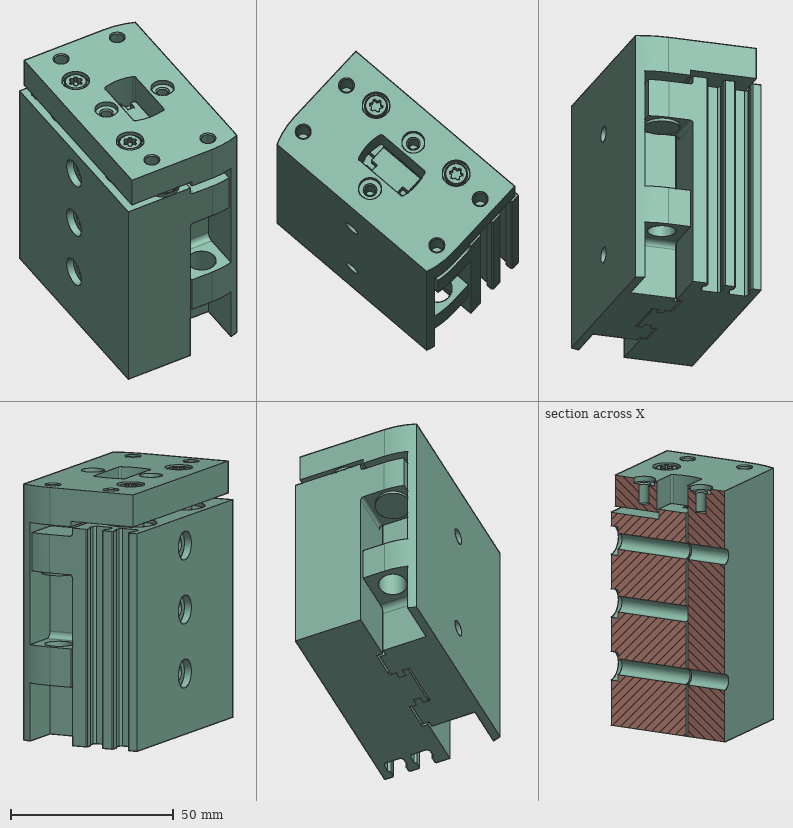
import cadquery as cq
import math


TOTAL_HEIGHT = 80.0
TOTAL_DEPTH = 40.0
SIDE_ARC_RADIUS = 27.5
SIDE_ARC_START = 30.0

HOUSING_WIDTH = 66.0
HOUSING_HALF = HOUSING_WIDTH / 2
HOUSING_HEIGHT = 68.0
HOUSING_REAR = 22.1
HOUSING_LUG_REAR = 36.4
HOUSING_LUG_BOTTOM = 53.4
LUG_THICKNESS = 12.0
HOUSING_LUG_INNER = 19.2
LUG_FILLET = 1.2

SLOT_CENTERS_Y = (5.7, 14.6)
SLOT_THROAT = 5.1
SLOT_MOUTH_CHAMFER = 0.4
SLOT_WIDE = 6.6
SLOT_LIP = 2.3
SLOT_DEPTH = 6.4
SLOT_FLOOR_CHAMFER = 0.8

MOUNT_HEIGHTS = (19.0, 39.0, 59.0)
MOUNT_DIAMETER = 5.0
MOUNT_BORE_DIAMETER = 9.0
MOUNT_BORE_DEPTH = 2.4

STOP_X = 26.4
STOP_BUSHING_DIAMETER = 11.0
STOP_BUSHING_DROP = 1.0
BUFFER_BORE_DIAMETER = 8.9

CAP_X = 28.0
CAP_Y = 15.2
CAP_DIAMETER = 10.0
CAP_HEIGHT = 1.4
CAP_CHAMFER = 0.2

RAIL_HALF = 7.6
RAIL_FRONT = 16.8
RAIL_REAR = 26.4
RAIL_TOP = 71.2
RAIL_GROOVE_HALF = 5.3
RAIL_GROOVE_FRONT = 22.4
RAIL_GROOVE_REAR = 24.6
CHANNEL_FLOOR = 20.1
CARRIAGE_FRONT = 20.8
CARRIAGE_HALF = 16.0
CHANNEL_HALF = 16.8

SLIDE_HALF = 32.7
PLATE_FRONT = 1.4
PLATE_BOTTOM = 70.0
STEP_FRONT = 22.8
STEP_BOTTOM = 68.3
WALL_FRONT = 37.4
BLOCK_HALF = 18.0
BLOCK_FILLET = 2.0
SLIDE_LUG_BOTTOM = 18.2
RAIL_CLEARANCE_REAR = 27.0

WINDOW_FRONT = 16.2
WINDOW_HALF = 9.9
WINDOW_END_HALF = 9.0
WINDOW_CORNER = 0.8

HOLE_FRONT_Y = 11.6
HOLE_SPACING_Y = 20.0
CORNER_HOLE_X = 27.5
CORNER_HOLE_DIAMETER = 4.2
CORNER_RIM_DIAMETER = 4.9
CORNER_HOLE_DEPTH = 8.8
CENTER_HOLE_DIAMETER = 3.3
CENTER_RIM_DIAMETER = 4.2
CENTER_BORE_DIAMETER = 7.0
CENTER_BORE_DEPTH = 1.6
CENTER_HOLE_DEPTH = 8.0

ROD_X = 16.5
ROD_Y = 10.3
ROD_DIAMETER = 8.0
ROD_RECESS_DIAMETER = 16.0
ROD_RECESS_DEPTH = 1.2
SCREW_BORE_DIAMETER = 8.5
SCREW_BORE_DEPTH = 1.6
SCREW_HEAD_DIAMETER = 7.0
SCREW_HEAD_HEIGHT = 1.3
SCREW_HEAD_CHAMFER = 0.3
TORX_POINTS = 6
TORX_TIP_RADIUS = 2.1
TORX_VALLEY_RADIUS = 1.4
TORX_TIP_HALF_ANGLE = 8
TORX_DEPTH = 2.0


def block(x_min, x_max, y_min, y_max, z_min, z_max):
    """Box given by its limits."""
    size = (x_max - x_min, y_max - y_min, z_max - z_min)
    return cq.Workplane("XY").box(*size, centered=False).translate((x_min, y_min, z_min))


def cylinder(x, y, diameter, z_min, z_max):
    """Upright cylinder."""
    return cq.Workplane("XY", origin=(x, y, z_min)).circle(diameter / 2).extrude(z_max - z_min)


def cylinder_along_y(z, diameter, y_min, y_max):
    """Cylinder on X = 0 running from front to rear."""
    plane = cq.Workplane("XZ", origin=(0, y_min, z))
    return plane.circle(diameter / 2).extrude(y_min - y_max)


def rounded_outline(half, front, rear, z_min, z_max):
    """Prism with straight sides that curve inward toward the rear."""
    def inset(y):
        run = y - SIDE_ARC_START
        return SIDE_ARC_RADIUS - math.sqrt(SIDE_ARC_RADIUS ** 2 - run ** 2)

    middle = (SIDE_ARC_START + rear) / 2
    return (
        cq.Workplane("XY", origin=(0, 0, z_min))
        .moveTo(-half, front)
        .lineTo(half, front)
        .lineTo(half, SIDE_ARC_START)
        .threePointArc((half - inset(middle), middle), (half - inset(rear), rear))
        .lineTo(-half + inset(rear), rear)
        .threePointArc((-half + inset(middle), middle), (-half, SIDE_ARC_START))
        .close()
        .extrude(z_max - z_min)
    )


def side_slot(y):
    """T-slot with a chamfered mouth, open on the -X side."""
    throat = SLOT_THROAT / 2
    mouth = throat + SLOT_MOUTH_CHAMFER
    wide = SLOT_WIDE / 2
    flare = wide - throat
    half_profile = [
        (0, mouth),
        (SLOT_MOUTH_CHAMFER, throat),
        (SLOT_LIP, throat),
        (SLOT_LIP + flare, wide),
        (SLOT_DEPTH - SLOT_FLOOR_CHAMFER, wide),
        (SLOT_DEPTH, wide - SLOT_FLOOR_CHAMFER),
    ]
    other_half = [(depth, -width) for depth, width in reversed(half_profile)]
    profile = cq.Workplane("XY", origin=(-HOUSING_HALF, y, 0)).polyline(half_profile + other_half)
    return profile.close().extrude(HOUSING_HEIGHT)


def make_rail():
    """Guide rail with one ball groove on each side."""
    rail = block(-RAIL_HALF, RAIL_HALF, RAIL_FRONT, RAIL_REAR, 0, RAIL_TOP)
    return rail.cut(rail_grooves(RAIL_TOP))


def rail_grooves(top):
    """The volume of both ball grooves up to a given height."""
    limits = (RAIL_GROOVE_FRONT, RAIL_GROOVE_REAR, 0, top)
    left = block(-RAIL_HALF, -RAIL_GROOVE_HALF, *limits)
    return left.add(block(RAIL_GROOVE_HALF, RAIL_HALF, *limits)).combine()


def housing_lugs():
    """Side lugs at the upper rear, with the stop bushings below them."""
    top = HOUSING_LUG_BOTTOM + LUG_THICKNESS
    lugs = rounded_outline(HOUSING_HALF, HOUSING_REAR, HOUSING_LUG_REAR, HOUSING_LUG_BOTTOM, top)
    foot = block(-HOUSING_HALF, HOUSING_HALF, HOUSING_REAR, HOUSING_REAR + LUG_FILLET,
                 HOUSING_LUG_BOTTOM - LUG_FILLET, top + LUG_FILLET)
    for z in (HOUSING_LUG_BOTTOM - LUG_FILLET, top + LUG_FILLET):
        rounding = cq.Workplane("YZ", origin=(-HOUSING_HALF, HOUSING_REAR + LUG_FILLET, z))
        foot = foot.cut(rounding.circle(LUG_FILLET).extrude(2 * HOUSING_HALF))
    lugs = lugs.union(foot)
    lugs = lugs.cut(block(-HOUSING_LUG_INNER, HOUSING_LUG_INNER, HOUSING_REAR, TOTAL_DEPTH,
                          0, TOTAL_HEIGHT))
    for x in (-STOP_X, STOP_X):
        lugs = lugs.union(cylinder(x, SIDE_ARC_START, STOP_BUSHING_DIAMETER,
                                   HOUSING_LUG_BOTTOM - STOP_BUSHING_DROP, top))
    return lugs


def make_housing():
    """Housing body with its lugs, slots, rail and end cap."""
    body = block(-HOUSING_HALF, HOUSING_HALF, 0, HOUSING_REAR, 0, HOUSING_HEIGHT)
    for y in SLOT_CENTERS_Y:
        body = body.cut(side_slot(y))
    body = body.cut(block(-CHANNEL_HALF, CHANNEL_HALF, CHANNEL_FLOOR, HOUSING_REAR,
                          0, HOUSING_HEIGHT))
    body = body.union(housing_lugs()).union(make_rail())

    for x in (-ROD_X, ROD_X):
        body = body.cut(cylinder(x, ROD_Y, ROD_RECESS_DIAMETER,
                                 HOUSING_HEIGHT - ROD_RECESS_DEPTH, HOUSING_HEIGHT))

    cap = cylinder(CAP_X, CAP_Y, CAP_DIAMETER, HOUSING_HEIGHT, HOUSING_HEIGHT + CAP_HEIGHT)
    body = body.union(cap.faces(">Z").chamfer(CAP_CHAMFER))

    for z in MOUNT_HEIGHTS:
        body = body.cut(cylinder_along_y(z, MOUNT_DIAMETER, 0, RAIL_REAR))
        body = body.cut(cylinder_along_y(z, MOUNT_BORE_DIAMETER, 0, MOUNT_BORE_DEPTH))
    return body


def slide_shell():
    """Top plate, rear wall, lugs and central block, with filleted inner corners."""
    shell = rounded_outline(SLIDE_HALF, PLATE_FRONT, TOTAL_DEPTH, 0, TOTAL_HEIGHT)
    front_space = block(-HOUSING_HALF, HOUSING_HALF, 0, STEP_FRONT, 0, PLATE_BOTTOM)
    shell = shell.cut(front_space)
    lug_top = SLIDE_LUG_BOTTOM + LUG_THICKNESS
    far = SLIDE_HALF + 2 * BLOCK_FILLET
    for z_min, z_max, rounded in (
        (-2 * BLOCK_FILLET, SLIDE_LUG_BOTTOM, ">Z"),
        (lug_top, STEP_BOTTOM, "<Z or >Z"),
    ):
        pocket = block(-far, -BLOCK_HALF, STEP_FRONT, WALL_FRONT, z_min, z_max)
        pocket = pocket.faces(rounded).edges(">X").fillet(BLOCK_FILLET)
        shell = shell.cut(pocket).cut(pocket.mirror("YZ"))
    return shell


def add_carriage(shell):
    """Open the block around the rail and add the carriage lips."""
    carriage = block(-CARRIAGE_HALF, CARRIAGE_HALF, CARRIAGE_FRONT, STEP_FRONT, 0, STEP_BOTTOM)
    rail_space = block(-RAIL_HALF, RAIL_HALF, CARRIAGE_FRONT, RAIL_CLEARANCE_REAR, 0, PLATE_BOTTOM)
    return shell.union(carriage).cut(rail_space).union(rail_grooves(STEP_BOTTOM))


def window():
    """Opening over the rail with bowed ends."""
    middle = (WINDOW_FRONT + RAIL_CLEARANCE_REAR) / 2
    outline = (
        cq.Workplane("XY", origin=(0, 0, STEP_BOTTOM))
        .moveTo(-WINDOW_END_HALF, WINDOW_FRONT)
        .lineTo(WINDOW_END_HALF, WINDOW_FRONT)
        .threePointArc((WINDOW_HALF, middle), (WINDOW_END_HALF, RAIL_CLEARANCE_REAR))
        .lineTo(-WINDOW_END_HALF, RAIL_CLEARANCE_REAR)
        .threePointArc((-WINDOW_HALF, middle), (-WINDOW_END_HALF, WINDOW_FRONT))
        .close()
        .extrude(TOTAL_HEIGHT - STEP_BOTTOM)
    )
    return outline.edges("|Z").fillet(WINDOW_CORNER)


def chamfered_hole(x, y, diameter, rim_diameter, z_min, z_max):
    """Upright hole with a 45 degree rim at its upper end."""
    rim = (rim_diameter - diameter) / 2
    hole = cylinder(x, y, diameter, z_min, z_max)
    mouth = cq.Workplane("XY", origin=(x, y, z_max - rim)).circle(diameter / 2).extrude(rim, taper=-45)
    return hole.union(mouth)


def plate_holes():
    """Mounting holes of the top plate."""
    holes = []
    bore_floor = TOTAL_HEIGHT - CENTER_BORE_DEPTH
    for y in (HOLE_FRONT_Y, HOLE_FRONT_Y + HOLE_SPACING_Y):
        for x in (-CORNER_HOLE_X, CORNER_HOLE_X):
            holes.append(chamfered_hole(x, y, CORNER_HOLE_DIAMETER, CORNER_RIM_DIAMETER,
                                        TOTAL_HEIGHT - CORNER_HOLE_DEPTH, TOTAL_HEIGHT))
        holes.append(chamfered_hole(0, y, CENTER_HOLE_DIAMETER, CENTER_RIM_DIAMETER,
                                    TOTAL_HEIGHT - CENTER_HOLE_DEPTH, bore_floor))
        holes.append(cylinder(0, y, CENTER_BORE_DIAMETER, bore_floor, TOTAL_HEIGHT))
    return holes


def torx_socket(x, top):
    """Six-pointed socket sunk below a given height."""
    points = []
    pitch = 360 / TORX_POINTS
    for i in range(TORX_POINTS):
        tip_angle = (i + 0.5) * pitch
        for radius, offset in (
            (TORX_TIP_RADIUS, -TORX_TIP_HALF_ANGLE),
            (TORX_TIP_RADIUS, TORX_TIP_HALF_ANGLE),
            (TORX_VALLEY_RADIUS, pitch / 2),
        ):
            angle = math.radians(tip_angle + offset)
            points.append((radius * math.cos(angle), radius * math.sin(angle)))
    return cq.Workplane("XY", origin=(x, ROD_Y, top)).polyline(points).close().extrude(-TORX_DEPTH)


def add_rod_and_screw(slide, x):
    """Rod end below the plate and its sunk screw in the top face."""
    bore_floor = TOTAL_HEIGHT - SCREW_BORE_DEPTH
    head_top = bore_floor + SCREW_HEAD_HEIGHT
    head = cylinder(x, ROD_Y, SCREW_HEAD_DIAMETER, bore_floor, head_top)
    head = head.faces(">Z").chamfer(SCREW_HEAD_CHAMFER)
    rod = cylinder(x, ROD_Y, ROD_DIAMETER, HOUSING_HEIGHT - ROD_RECESS_DEPTH, PLATE_BOTTOM)
    slide = slide.cut(cylinder(x, ROD_Y, SCREW_BORE_DIAMETER, bore_floor, TOTAL_HEIGHT))
    return slide.union(head).union(rod).cut(torx_socket(x, head_top))


def make_slide():
    """Slide with its carriage, window, holes and rod ends."""
    slide = add_carriage(slide_shell()).cut(window())
    for hole in plate_holes():
        slide = slide.cut(hole)
    for x in (-ROD_X, ROD_X):
        slide = add_rod_and_screw(slide, x)
    for x in (-STOP_X, STOP_X):
        slide = slide.cut(cylinder(x, SIDE_ARC_START, BUFFER_BORE_DIAMETER, SLIDE_LUG_BOTTOM,
                                   SLIDE_LUG_BOTTOM + LUG_THICKNESS))
    for z in (MOUNT_HEIGHTS[0], MOUNT_HEIGHTS[-1]):
        slide = slide.cut(cylinder_along_y(z, MOUNT_DIAMETER, RAIL_REAR, TOTAL_DEPTH))
    return slide


housing = make_housing()
slide = make_slide()
result = cq.Compound.makeCompound([housing.val(), slide.val()])